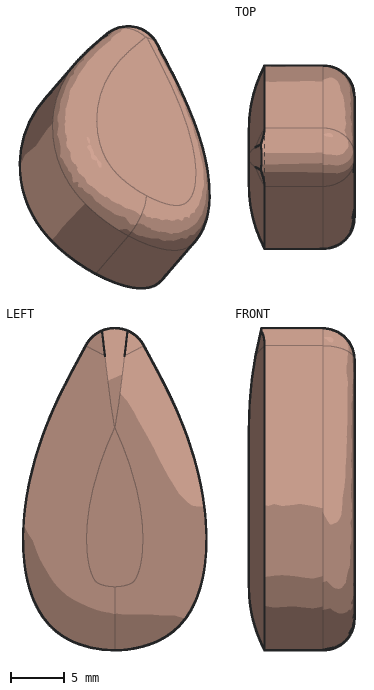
import cadquery as cq
import math

thickness = 10.0
height = 30.41

tip_radius = 3.1
tip_side_angle = math.radians(27.3)
bottom_handle = 4.361
tip_handle = 6.148
side_controls = [(7.467, 2.364), (9.58, 3.271), (11.665, 14.651)]

rim_fillet = 3.0
dome_depth = 1.5
dome_width = 6.0
dome_radius = (dome_width**2 + dome_depth**2) / (2 * dome_depth)
dome_edge_slope = dome_width / (dome_radius - dome_depth)

ridge_start_height = 21.0
ridge_drop = 1.21
ridge_run = height - ridge_start_height
ridge_radius = (ridge_run**2 + ridge_drop**2) / (2 * ridge_drop)

clearance = 1.0

tip_center_height = height - tip_radius
tip_tangent = (
    tip_radius * math.cos(tip_side_angle),
    tip_center_height + tip_radius * math.sin(tip_side_angle),
)
sharp_apex = (0.0, tip_center_height + tip_radius / math.sin(tip_side_angle))
bottom = (0.0, 0.0)
flank_direction = (-math.sin(tip_side_angle), math.cos(tip_side_angle))


def side_curve():
    """Smooth +Y side of the outline, from the bottom up to the rounded tip."""
    flank_handle = (
        tip_tangent[0] - tip_handle * flank_direction[0],
        tip_tangent[1] - tip_handle * flank_direction[1],
    )
    return cq.Workplane("YZ").bezier(
        [bottom, (bottom_handle, 0.0), *side_controls, flank_handle, tip_tangent]
    )


def teardrop_body():
    """Teardrop prism with a rounded back rim."""
    side = side_curve()
    far_tangent = (-tip_tangent[0], tip_tangent[1])
    tip = cq.Workplane("YZ").moveTo(*tip_tangent).threePointArc((0.0, height), far_tangent)
    outline = cq.Wire.assembleEdges([side.val(), tip.val(), side.mirror("XZ").val()])
    return (
        cq.Workplane("YZ")
        .add(outline)
        .toPending()
        .extrude(thickness)
        .faces(">X")
        .edges()
        .fillet(rim_fillet)
    )


def dome_flank_cutter():
    """Waste above the +Y dome flank, swept along the outline to the sharp apex of its flanks."""
    straight_flank = cq.Workplane("YZ").moveTo(*tip_tangent).lineTo(*sharp_apex)
    path = cq.Wire.assembleEdges([side_curve().val(), straight_flank.val()])
    mid_angle = math.asin(dome_width / dome_radius) / 2
    mid_inset = dome_width - dome_radius * math.sin(mid_angle)
    mid_depth = dome_radius * (1 - math.cos(mid_angle))
    section = (
        cq.Workplane("XZ")
        .moveTo(0.0, dome_width)
        .threePointArc((mid_depth, mid_inset), (dome_depth, 0.0))
        .lineTo(dome_depth + clearance * dome_edge_slope, -clearance)
        .lineTo(-clearance, -clearance)
        .lineTo(-clearance, dome_width)
        .close()
    )
    return section.sweep(path)


def ridge_cutter():
    """Waste in front of the ridge, whose arc leaves the flat centre tangentially."""
    mid_angle = math.asin(ridge_run / ridge_radius) / 2
    mid_drop = ridge_radius * (1 - math.cos(mid_angle))
    mid_height = ridge_start_height + ridge_radius * math.sin(mid_angle)
    return (
        cq.Workplane("XZ")
        .moveTo(0.0, ridge_start_height)
        .threePointArc((mid_drop, mid_height), (ridge_drop, height))
        .lineTo(ridge_drop, height + clearance)
        .lineTo(-clearance, height + clearance)
        .lineTo(-clearance, ridge_start_height)
        .close()
        .extrude(tip_radius, both=True)
    )


flank = dome_flank_cutter()
result = teardrop_body().cut(flank).cut(flank.mirror("XZ")).cut(ridge_cutter())